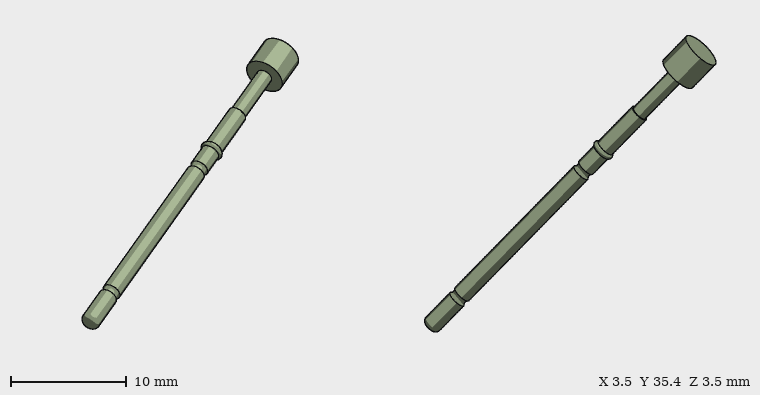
import cadquery as cq

total_length = 35.4
head_diameter = 3.5
head_length = 3.0

plunger_diameter = 1.4
plunger_overlap = 0.7

sleeve_diameter = 1.65
sleeve_length = 27.35
tip_radius = 0.42

collar_diameter = 2.02
collar_center = 22.65
collar_width = 0.53

groove_centers = (3.9, 20.07)
groove_width = 0.65
groove_depth = 0.15

sleeve_radius = sleeve_diameter / 2
front_y = -total_length / 2
sleeve_end_y = front_y + sleeve_length


def cylinder(diameter, start_y, length):
    """Solid cylinder along Y, running from start_y toward +Y."""
    plane = cq.Plane(origin=(0, start_y, 0), xDir=(1, 0, 0), normal=(0, 1, 0))
    return cq.Workplane(plane).circle(diameter / 2).extrude(length)


def arc_ring(center_y, width, crest_radius):
    """Ring whose section is an arc from the sleeve surface to crest_radius."""
    return (
        cq.Workplane("XY")
        .moveTo(sleeve_radius, center_y - width / 2)
        .threePointArc((crest_radius, center_y), (sleeve_radius, center_y + width / 2))
        .close()
        .revolve(360, (0, 0, 0), (0, 1, 0))
    )


def make_sleeve():
    sleeve = cylinder(sleeve_diameter, front_y, sleeve_length)
    sleeve = sleeve.faces("<Y").edges().fillet(tip_radius)
    for offset in groove_centers:
        sleeve = sleeve.cut(arc_ring(front_y + offset, groove_width, sleeve_radius - groove_depth))
    return sleeve


head = cylinder(head_diameter, total_length / 2 - head_length, head_length)
plunger_start_y = sleeve_end_y - plunger_overlap
plunger = cylinder(plunger_diameter, plunger_start_y, total_length / 2 - plunger_start_y)
collar = arc_ring(front_y + collar_center, collar_width, collar_diameter / 2)

result = make_sleeve().union(collar).union(plunger).union(head)